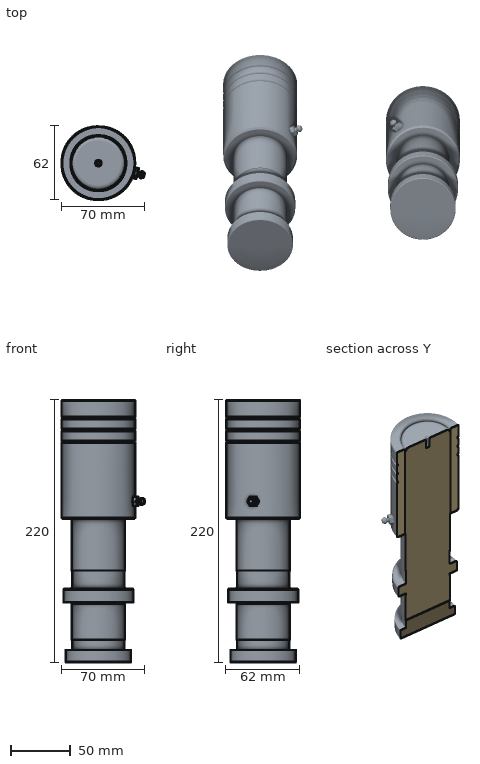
import cadquery as cq
import math

TOTAL_HEIGHT = 220.0

BUSHING_DIAMETER = 62.0
BUSHING_LENGTH = 100.0
BUSHING_TOP_CHAMFER = 0.7
BUSHING_BOTTOM_CHAMFER = 1.5
BORE_CHAMFER = 1.0
GROOVE_COUNT = 3
GROOVE_PITCH = 10.0
FIRST_GROOVE_DROP = 15.0
GROOVE_WIDTH = 2.4
GROOVE_DEPTH = 1.2

PIN_DIAMETER = 45.0
PIN_BOTTOM_Z = 18.5
PIN_TOP_ROUND = 4.0
PIN_END_CHAMFER = 0.8
RELIEF_DIAMETER = 44.0
RELIEF_TOP_Z = 77.0
COLLAR_DIAMETER = 59.0
COLLAR_BOTTOM_Z = 50.0
COLLAR_THICKNESS = 12.0
COLLAR_TOP_CHAMFER = 1.2
COLLAR_BOTTOM_CHAMFER = 0.5
COLLAR_FILLET = 1.0
UNDERCUT_HEIGHT = 1.2
CENTRE_HOLE_DIAMETER = 3.0
CENTRE_HOLE_DEPTH = 10.0
COUNTERSINK_DIAMETER = 5.3
COUNTERSINK_ANGLE = 90.0

CAP_NECK_DIAMETER = 44.0
CAP_FLANGE_DIAMETER = 55.0
CAP_FLANGE_THICKNESS = 10.4
CAP_FLANGE_CHAMFER = 0.5

NIPPLE_ANGLE = -15.0
NIPPLE_HEIGHT_ABOVE_BUSHING_END = 15.0
HEX_ACROSS_FLATS = 8.0
HEX_OUTER_RADIUS = 34.2
HEX_CHAMFER_SLOPE = 30.0
NIPPLE_NECK_DIAMETER = 3.6
NIPPLE_HEAD_DIAMETER = 6.0
NIPPLE_TIP_DIAMETER = 3.8
HEAD_START_RADIUS = 35.6
HEAD_WIDE_START_RADIUS = 37.3
HEAD_WIDE_END_RADIUS = 37.9
NIPPLE_TIP_RADIUS = 39.85

BUSHING_RADIUS = BUSHING_DIAMETER / 2
BUSHING_BOTTOM_Z = TOTAL_HEIGHT - BUSHING_LENGTH
PIN_RADIUS = PIN_DIAMETER / 2
RELIEF_RADIUS = RELIEF_DIAMETER / 2
COLLAR_RADIUS = COLLAR_DIAMETER / 2
COLLAR_TOP_Z = COLLAR_BOTTOM_Z + COLLAR_THICKNESS
HEX_CORNER_RADIUS = HEX_ACROSS_FLATS / math.sqrt(3)
HEX_SEAT_RADIUS = math.sqrt(BUSHING_RADIUS**2 - HEX_CORNER_RADIUS**2)


def ring_groove(middle_z):
    """Ring that cuts one V-shaped groove into the outside of the bushing."""
    half_width = GROOVE_WIDTH / 2
    return (
        cq.Workplane("XZ")
        .moveTo(BUSHING_RADIUS, middle_z - half_width)
        .lineTo(BUSHING_RADIUS - GROOVE_DEPTH, middle_z)
        .lineTo(BUSHING_RADIUS, middle_z + half_width)
        .close()
        .revolve(360, (0, 0, 0), (0, 1, 0))
    )


def make_bushing(nipple):
    body = (
        cq.Workplane("XY")
        .workplane(offset=BUSHING_BOTTOM_Z)
        .circle(BUSHING_RADIUS)
        .extrude(BUSHING_LENGTH)
    )
    body = body.faces(">Z").chamfer(BUSHING_TOP_CHAMFER)
    body = body.faces("<Z").chamfer(BUSHING_BOTTOM_CHAMFER)
    body = body.faces(">Z").workplane().hole(PIN_DIAMETER)
    bore_rim = cq.selectors.RadiusNthSelector(0)
    body = body.faces(">Z").edges(bore_rim).chamfer(BORE_CHAMFER)
    for index in range(GROOVE_COUNT):
        body = body.cut(ring_groove(TOTAL_HEIGHT - FIRST_GROOVE_DROP - index * GROOVE_PITCH))
    return body.cut(nipple)


def make_pin():
    pin = (
        cq.Workplane("XZ")
        .moveTo(0, PIN_BOTTOM_Z)
        .lineTo(PIN_RADIUS - PIN_END_CHAMFER, PIN_BOTTOM_Z)
        .lineTo(PIN_RADIUS, PIN_BOTTOM_Z + PIN_END_CHAMFER)
        .lineTo(PIN_RADIUS, COLLAR_BOTTOM_Z - UNDERCUT_HEIGHT)
        .lineTo(RELIEF_RADIUS, COLLAR_BOTTOM_Z - UNDERCUT_HEIGHT)
        .lineTo(RELIEF_RADIUS, COLLAR_BOTTOM_Z)
        .lineTo(COLLAR_RADIUS - COLLAR_BOTTOM_CHAMFER, COLLAR_BOTTOM_Z)
        .lineTo(COLLAR_RADIUS, COLLAR_BOTTOM_Z + COLLAR_BOTTOM_CHAMFER)
        .lineTo(COLLAR_RADIUS, COLLAR_TOP_Z - COLLAR_TOP_CHAMFER)
        .lineTo(COLLAR_RADIUS - COLLAR_TOP_CHAMFER, COLLAR_TOP_Z)
        .lineTo(RELIEF_RADIUS + COLLAR_FILLET, COLLAR_TOP_Z)
        .radiusArc((RELIEF_RADIUS, COLLAR_TOP_Z + COLLAR_FILLET), COLLAR_FILLET)
        .lineTo(RELIEF_RADIUS, RELIEF_TOP_Z)
        .lineTo(PIN_RADIUS, RELIEF_TOP_Z)
        .lineTo(PIN_RADIUS, TOTAL_HEIGHT - PIN_TOP_ROUND)
        .radiusArc((PIN_RADIUS - PIN_TOP_ROUND, TOTAL_HEIGHT), -PIN_TOP_ROUND)
        .lineTo(0, TOTAL_HEIGHT)
        .close()
        .revolve(360, (0, 0, 0), (0, 1, 0))
    )
    return (
        pin.faces(">Z")
        .workplane()
        .cskHole(CENTRE_HOLE_DIAMETER, COUNTERSINK_DIAMETER, COUNTERSINK_ANGLE, CENTRE_HOLE_DEPTH)
    )


def make_end_cap():
    flange = (
        cq.Workplane("XY")
        .circle(CAP_FLANGE_DIAMETER / 2)
        .extrude(CAP_FLANGE_THICKNESS)
        .faces("<Z")
        .chamfer(CAP_FLANGE_CHAMFER)
    )
    neck = cq.Workplane("XY").circle(CAP_NECK_DIAMETER / 2).extrude(PIN_BOTTOM_Z)
    return flange.union(neck)


def make_nipple():
    """Grease nipple, modelled along +X and then turned and lifted into place."""
    hexagon = (
        cq.Workplane("YZ")
        .workplane(offset=HEX_SEAT_RADIUS)
        .polygon(6, 2 * HEX_CORNER_RADIUS)
        .extrude(HEX_OUTER_RADIUS - HEX_SEAT_RADIUS)
    )
    bevel_depth = (HEX_CORNER_RADIUS - HEX_ACROSS_FLATS / 2) * math.tan(math.radians(HEX_CHAMFER_SLOPE))
    blank = (
        cq.Workplane("XY")
        .moveTo(HEX_SEAT_RADIUS, 0)
        .lineTo(HEX_SEAT_RADIUS, HEX_CORNER_RADIUS)
        .lineTo(HEX_OUTER_RADIUS - bevel_depth, HEX_CORNER_RADIUS)
        .lineTo(HEX_OUTER_RADIUS, HEX_ACROSS_FLATS / 2)
        .lineTo(HEX_OUTER_RADIUS, 0)
        .close()
        .revolve(360, (0, 0, 0), (1, 0, 0))
    )
    head = (
        cq.Workplane("XY")
        .moveTo(HEX_SEAT_RADIUS, 0)
        .lineTo(HEX_SEAT_RADIUS, NIPPLE_NECK_DIAMETER / 2)
        .lineTo(HEAD_START_RADIUS, NIPPLE_NECK_DIAMETER / 2)
        .lineTo(HEAD_WIDE_START_RADIUS, NIPPLE_HEAD_DIAMETER / 2)
        .lineTo(HEAD_WIDE_END_RADIUS, NIPPLE_HEAD_DIAMETER / 2)
        .lineTo(NIPPLE_TIP_RADIUS, NIPPLE_TIP_DIAMETER / 2)
        .lineTo(NIPPLE_TIP_RADIUS, 0)
        .close()
        .revolve(360, (0, 0, 0), (1, 0, 0))
    )
    return (
        hexagon.intersect(blank)
        .union(head)
        .rotate((0, 0, 0), (0, 0, 1), NIPPLE_ANGLE)
        .translate((0, 0, BUSHING_BOTTOM_Z + NIPPLE_HEIGHT_ABOVE_BUSHING_END))
    )


nipple = make_nipple()
bushing = make_bushing(nipple)
pin = make_pin()
end_cap = make_end_cap()

result = cq.Compound.makeCompound([
    bushing.solids().val(),
    pin.solids().val(),
    end_cap.solids().val(),
    nipple.solids().val(),
])